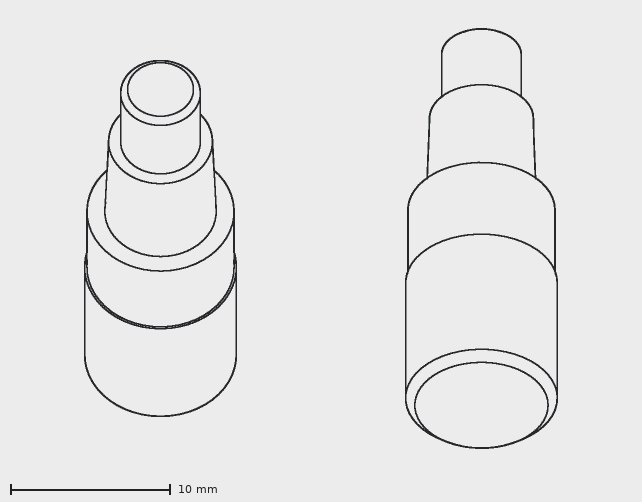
import cadquery as cq

base_diameter = 9.52
base_height = 10.0
base_chamfer = 0.58
collar_diameter = 9.22
collar_height = 6.0
nose_bottom_diameter = 6.98
nose_top_diameter = 6.52
nose_height = 7.5

overall_height = 29.1
pin_diameter = 5.0
pin_chamfer_height = 0.38
pin_chamfer_width = 0.45

collar_top = base_height + collar_height
nose_top = collar_top + nose_height


def revolve_profile(points):
    """Turn a closed half profile of (radius, height) points about the Z axis."""
    return cq.Workplane("XZ").polyline(points).close().revolve(360, (0, 0), (0, 1))


def make_housing():
    """Chamfered base, slightly narrower collar and tapered nose."""
    base_radius = base_diameter / 2
    collar_radius = collar_diameter / 2
    return revolve_profile([
        (0, 0),
        (base_radius - base_chamfer, 0),
        (base_radius, base_chamfer),
        (base_radius, base_height),
        (collar_radius, base_height),
        (collar_radius, collar_top),
        (nose_bottom_diameter / 2, collar_top),
        (nose_top_diameter / 2, nose_top),
        (0, nose_top),
    ])


def make_pin():
    """Straight stem with a chamfered tip, resting on the nose's flat end."""
    pin_radius = pin_diameter / 2
    return revolve_profile([
        (0, nose_top),
        (pin_radius, nose_top),
        (pin_radius, overall_height - pin_chamfer_height),
        (pin_radius - pin_chamfer_width, overall_height),
        (0, overall_height),
    ])


housing = make_housing()
pin = make_pin()

result = cq.Compound.makeCompound([housing.val(), pin.val()])